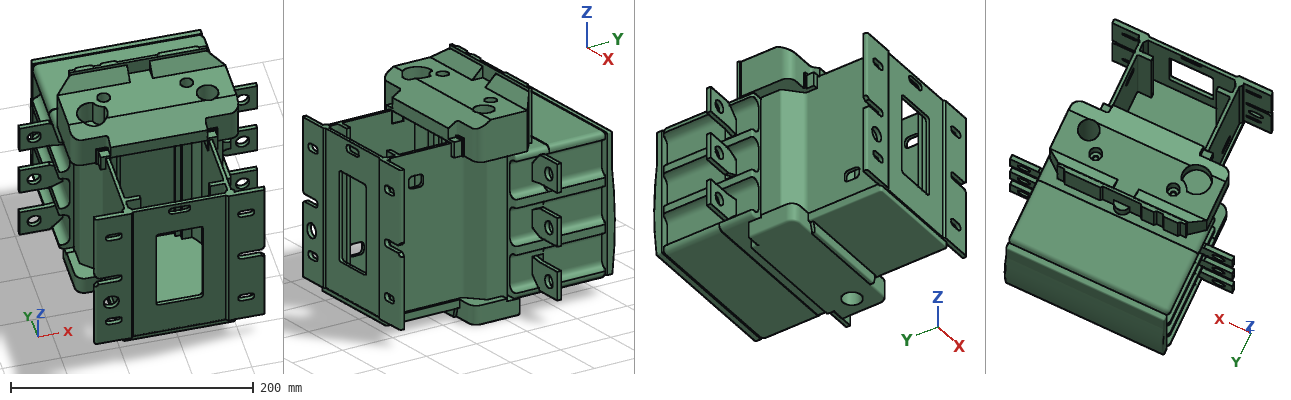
import cadquery as cq

OVERALL_WIDTH = 203.0
ROW_PITCH = 48.0
SIDES = (-1, 1)
ROWS = (-1, 0, 1)

ZONE_REACH = 0.2

PLATE_HALF_WIDTH = 72.6
PLATE_BOTTOM = 15.5
PLATE_TOP = 157.7
PLATE_MID = (PLATE_BOTTOM + PLATE_TOP) / 2
WING_THICKNESS = 4.0
WING_EDGE_RADIUS = 2.0
RECESS_DEPTH = 1.5
RECESS_INNER = 39.5
RECESS_OUTER = 41.5
PLATE_INNER_FACE = 4.7
SLOT_HEIGHT = 6.7
WING_SLOT_INNER = 49.6
WING_SLOT_OUTER = 63.4
SLOT_MOUTH_SIZE = 3.0
CENTRE_SLOT_LENGTH = 18.5
CENTRE_SLOT_Z = 150.8
WING_HOLE_DIAMETER = 13.0
WING_HOLE_X = -58.6
WING_HOLE_Z = 60.5
WINDOW_WIDTH = 40.0
WINDOW_HEIGHT = 80.8
WINDOW_RADIUS = 2.8

WALL_OUTER = 45.5
WALL_INNER = 42.3
GUSSET_SIZE = 2.1
GUSSET_END = 8.2
FLARE_START = 80.1
BODY_HALF_WIDTH = 61.2
FLARE_END = 94.5
FLARE_ROOT_RADIUS = 4.5
FLARE_OUTER_RADIUS = 2.4
CAVITY_WALL_END = 92.0
CAVITY_LEDGE_Y = 101.5
CAVITY_SLOPE = ((41.0, 94.3), (37.8, 99.9), (36.3, CAVITY_LEDGE_Y))
CAVITY_STEP_X = 28.0
CAVITY_STEP_Y = 106.1
CAVITY_REAR_HALF_WIDTH = 23.5
CAVITY_REAR_Y = 110.0
FLOOR_TOP = 17.8
FLOOR_BOTTOM = 10.0
FLOOR_HALF_WIDTH = 48.1
FLOOR_FRONT = 2.5
FLOOR_EDGE_RADIUS = 1.0
FLOOR_CORNER_RADIUS = 2.1
TAB_TIP = 29.6
TAB_START = 15.5
TAB_THICKNESS = 3.9
TAB_ROOT_RADIUS = 1.3
WALL_SLOT_LENGTH = 14.8
WALL_SLOT_HEIGHT = 11.2
WALL_SLOT_RADIUS = 3.9
WALL_SLOT_Y = 34.0
WALL_SLOT_OFFSET = 44.7

HOUSING_HALF_WIDTH = 73.5
HOUSING_START = 114.5
HOUSING_SEAM = 148.0
HOUSING_END = 206.2
HOUSING_BOTTOM = 16.1
HOUSING_TOP = 147.0
HOUSING_MID = (HOUSING_BOTTOM + HOUSING_TOP) / 2
SEAM_STEP = 0.6
HOUSING_RADIUS = 5.0
HOUSING_START_RADIUS = 1.7
BAY_PITCH = 41.7
BAY_HEIGHT = 34.0
BAY_FLOOR = 64.7
OUTER_BAY_RADIUS = 6.7
INNER_BAY_RADIUS = 6.0

TERMINAL_START = 137.0
TERMINAL_THICKNESS = 4.0
TERMINAL_TIP = OVERALL_WIDTH / 2
TERMINAL_HEIGHT = 25.5
TAPER_START = 75.6
TERMINAL_HOLE_X = 89.0
TERMINAL_HOLE_DIAMETER = 11.4
OPENING_HEIGHT = 16.1

COVER_HALF_WIDTH = 72.5
COVER_BOTTOM = 17.8
COVER_TOP = 145.2
COVER_FACE = 211.8
COVER_LOWER_FACE = 212.2
COVER_CROWN = 214.8
COVER_CROWN_Z = 66.5
COVER_ARCH_TOP = 113.2
COVER_RADIUS = 1.3

CAP_HALF_WIDTH = 71.7
CAP_FRONT = 78.0
CAP_NOSE_FRONT = 69.0
CAP_NOSE_HALF_WIDTH = 41.5
CAP_BACK = 127.2
CAP_BOTTOM = 146.0
CAP_TOP = 182.4
CAP_SLOPE_START = 90.9
CAP_SLOPE_END_Z = 169.5
CAP_CORNER_RADIUS = 8.4
NOSE_ROOT_RADIUS = 2.1
EAR_OUTER = 50.0
EAR_TOP = 160.0
EAR_COLLAR = 1.7
LABEL_HALF_WIDTH = 58.6
LABEL_START = 137.7
LABEL_FACE = 140.3
LABEL_TOP = 195.5
LABEL_SLOPE_TOP = 192.5
LABEL_PAD_HEIGHT = 1.7
PAD_SPANS = ((-53.7, -37.5), (-32.0, -17.5), (17.2, 52.6))
COLUMN_RADIUS = 7.5
COLUMN_Y = 138.3
COLUMN_TOP = 163.3
CAP_SLOT_WIDTH = 19.3
SCREW_HOLE_X = 35.5
SCREW_HOLE_Y = 115.1
SCREW_HOLE_DIAMETER = 10.7
SCREW_HOLE_DEPTH = 17.2
SCREW_CORE_DIAMETER = 4.7
SCREW_CORE_DEPTH = 4.3
SCREW_BOSS_RADIUS = 11.0
PORT_X = 49.2
PORT_Y = 99.2
BLIND_PORT_DIAMETER = 25.5
BLIND_PORT_FLOOR = 161.1
THROUGH_PORT_DIAMETER = 18.0

FOOT_HALF_WIDTH = 68.5
FOOT_FRONT = 75.8
FOOT_BACK = 122.9
FOOT_STEP_Y = 109.3
FOOT_CORNER_RADIUS = 8.2
FOOT_EDGE_RADIUS = 2.1
FOOT_TONGUE_BACK = 128.0
FOOT_TONGUE_HALF_WIDTH = 55.9
FOOT_TONGUE_RADIUS = 1.5
FOOT_LIP_FRONT = 72.8
FOOT_LIP_BOTTOM = 0.6
FOOT_LIP_RADIUS = 1.5
FOOT_LIP_TOP_HALF_WIDTH = 45.3
FOOT_LIP_BOTTOM_HALF_WIDTH = 42.5


def block(x_span, y_span, z_span):
    """Axis-aligned block between pairs of limits."""
    size = [span[1] - span[0] for span in (x_span, y_span, z_span)]
    corner = (x_span[0], y_span[0], z_span[0])
    return cq.Workplane("XY").box(*size, centered=False).translate(corner)


def centred_block(half_width, y_span, z_span):
    """Block that is symmetric about X = 0."""
    return block((-half_width, half_width), y_span, z_span)


def side_block(side, near, far, y_span, z_span):
    """Block on one side of X = 0, between two distances from it."""
    return block(sorted((side * near, side * far)), y_span, z_span)


def plan_prism(right_half, z_span):
    """Vertical prism from the +X half of an outline, mirrored about X = 0."""
    left_half = [(-x, y) for x, y in reversed(right_half)]
    outline = cq.Workplane("XY").workplane(offset=z_span[0]).polyline(right_half + left_half)
    return outline.close().extrude(z_span[1] - z_span[0])


def upright_cylinder(x, y, diameter, z_span):
    """Vertical cylinder."""
    base = cq.Workplane("XY").workplane(offset=z_span[0]).center(x, y)
    return base.circle(diameter / 2).extrude(z_span[1] - z_span[0])


def y_zone(y):
    """Selector for the edges close to one Y position."""
    return cq.selectors.BoxSelector(
        (-TERMINAL_TIP, y - ZONE_REACH, 0), (TERMINAL_TIP, y + ZONE_REACH, LABEL_TOP)
    )


def corner_zone(x, y):
    """Selector for the vertical edges close to one plan position."""
    return cq.selectors.BoxSelector(
        (x - ZONE_REACH, y - ZONE_REACH, 0), (x + ZONE_REACH, y + ZONE_REACH, LABEL_TOP)
    )


def plate_cutter(sketch):
    """Extrude an XZ sketch through the mounting plate."""
    return sketch.extrude(-GUSSET_END)


def make_plate():
    """Mounting plate: two wings, a recessed centre and the gussets to the walls."""
    plate = plan_prism(
        [
            (RECESS_INNER, RECESS_DEPTH),
            (RECESS_OUTER, 0),
            (PLATE_HALF_WIDTH, 0),
            (PLATE_HALF_WIDTH, WING_THICKNESS),
            (WALL_OUTER + GUSSET_SIZE, WING_THICKNESS),
            (WALL_OUTER + GUSSET_SIZE, GUSSET_END - GUSSET_SIZE),
            (WALL_OUTER, GUSSET_END),
            (WALL_INNER, GUSSET_END),
            (RECESS_INNER, PLATE_INNER_FACE),
        ],
        (PLATE_BOTTOM, PLATE_TOP),
    )
    for side in SIDES:
        plate = plate.edges(corner_zone(side * PLATE_HALF_WIDTH, 0)).fillet(WING_EDGE_RADIUS)
    return plate


def cut_plate_openings(plate):
    """Wing slots, open middle slots, round hole, centre slot and window."""
    slot_length = WING_SLOT_OUTER - WING_SLOT_INNER
    slot_x = (WING_SLOT_OUTER + WING_SLOT_INNER) / 2
    slots = [(s * slot_x, PLATE_MID + n * ROW_PITCH) for s in SIDES for n in ROWS]
    xz = cq.Workplane("XZ")
    plate = plate.cut(plate_cutter(xz.pushPoints(slots).slot2D(slot_length, SLOT_HEIGHT)))
    plate = plate.cut(plate_cutter(xz.center(0, CENTRE_SLOT_Z).slot2D(CENTRE_SLOT_LENGTH, SLOT_HEIGHT)))
    plate = plate.cut(plate_cutter(xz.center(WING_HOLE_X, WING_HOLE_Z).circle(WING_HOLE_DIAMETER / 2)))

    half_slot = SLOT_HEIGHT / 2
    slot_span = (PLATE_MID - half_slot, PLATE_MID + half_slot)
    for side in SIDES:
        plate = plate.cut(side_block(side, slot_x, PLATE_HALF_WIDTH, (0, GUSSET_END), slot_span))
        throat_x = side * (PLATE_HALF_WIDTH - SLOT_MOUTH_SIZE)
        mouth = (
            xz.moveTo(throat_x, slot_span[0])
            .lineTo(throat_x, slot_span[1])
            .lineTo(side * PLATE_HALF_WIDTH, slot_span[1] + SLOT_MOUTH_SIZE)
            .lineTo(side * PLATE_HALF_WIDTH, slot_span[0] - SLOT_MOUTH_SIZE)
            .close()
        )
        plate = plate.cut(plate_cutter(mouth))

    window = plate_cutter(xz.center(0, PLATE_MID).rect(WINDOW_WIDTH, WINDOW_HEIGHT))
    return plate.cut(window.edges("|Y").fillet(WINDOW_RADIUS))


def make_body():
    """Solid core: the box walls and the flare up to the contact housing."""
    body = plan_prism(
        [
            (WALL_OUTER, PLATE_INNER_FACE),
            (WALL_OUTER, FLARE_START),
            (BODY_HALF_WIDTH, FLARE_END),
            (BODY_HALF_WIDTH, HOUSING_START),
        ],
        (FLOOR_BOTTOM, CAP_BOTTOM),
    )
    for y, radius in ((FLARE_START, FLARE_ROOT_RADIUS), (FLARE_END, FLARE_OUTER_RADIUS)):
        body = body.edges("|Z").edges(y_zone(y)).fillet(radius)
    walls = centred_block(WALL_OUTER, (PLATE_INNER_FACE, FLARE_START), (FLOOR_BOTTOM, PLATE_TOP))
    floor = centred_block(FLOOR_HALF_WIDTH, (FLOOR_FRONT, FLARE_START), (FLOOR_BOTTOM, FLOOR_TOP))
    floor = floor.edges("|Z and <Y").fillet(FLOOR_CORNER_RADIUS).edges("<Z").fillet(FLOOR_EDGE_RADIUS)
    return body.union(walls).union(floor)


def make_cavity():
    """Inside of the box around two wall tabs, narrowing in steps towards its rear wall."""
    cavity = plan_prism(
        [
            (WALL_INNER - GUSSET_SIZE, PLATE_INNER_FACE),
            (WALL_INNER, GUSSET_END),
            (WALL_INNER, CAVITY_WALL_END),
            *CAVITY_SLOPE,
            (CAVITY_STEP_X, CAVITY_LEDGE_Y),
            (CAVITY_STEP_X, CAVITY_STEP_Y),
            (CAVITY_REAR_HALF_WIDTH, CAVITY_STEP_Y),
            (CAVITY_REAR_HALF_WIDTH, CAVITY_REAR_Y),
        ],
        (FLOOR_TOP, PLATE_TOP),
    )
    tab_span = (TAB_START, TAB_START + TAB_THICKNESS)
    for side in SIDES:
        cavity = cavity.cut(side_block(side, TAB_TIP, WALL_OUTER, tab_span, (FLOOR_TOP, PLATE_TOP)))
    root_edges = [(side * WALL_INNER, y) for side in SIDES for y in tab_span]
    for x, y in root_edges:
        cavity = cavity.edges("|Z").edges(corner_zone(x, y)).fillet(TAB_ROOT_RADIUS)
    return cavity


def wall_slot(side):
    """Rounded slot through one wall: low on -X and high on +X."""
    half_length = WALL_SLOT_LENGTH / 2
    half_height = WALL_SLOT_HEIGHT / 2
    z = PLATE_MID + side * WALL_SLOT_OFFSET
    slot = side_block(
        side,
        WALL_INNER,
        WALL_OUTER,
        (WALL_SLOT_Y - half_length, WALL_SLOT_Y + half_length),
        (z - half_height, z + half_height),
    )
    return slot.edges("|X").fillet(WALL_SLOT_RADIUS)


def cut_bays(housing, y_span, radius):
    """Cut three bays with rounded floor corners into each side of a housing part."""
    half_bay = BAY_HEIGHT / 2
    for side in SIDES:
        for n in ROWS:
            z = HOUSING_MID + n * BAY_PITCH
            outside = 2 * HOUSING_HALF_WIDTH - BAY_FLOOR
            bay = side_block(side, BAY_FLOOR, outside, y_span, (z - half_bay, z + half_bay))
            floor_edges = bay.edges("|Y").edges("<X" if side > 0 else ">X")
            housing = housing.cut(floor_edges.fillet(radius))
    return housing


def make_housing():
    """Contact housing in two parts, with three filleted bays on each side."""
    outer = centred_block(HOUSING_HALF_WIDTH, (HOUSING_SEAM, HOUSING_END), (HOUSING_BOTTOM, HOUSING_TOP))
    outer = outer.edges("|Y or >Y").fillet(HOUSING_RADIUS)
    inner = centred_block(
        HOUSING_HALF_WIDTH,
        (HOUSING_START, HOUSING_SEAM),
        (HOUSING_BOTTOM + SEAM_STEP, HOUSING_TOP - SEAM_STEP),
    )
    inner = inner.edges("|Y").fillet(HOUSING_RADIUS).edges("<Y").fillet(HOUSING_START_RADIUS)
    outer = cut_bays(outer, (HOUSING_SEAM, HOUSING_END), OUTER_BAY_RADIUS)
    inner = cut_bays(inner, (HOUSING_START, HOUSING_SEAM), INNER_BAY_RADIUS)
    return outer.union(inner)


def make_opening(n):
    """Rectangular passage across the whole housing beside one pair of terminals."""
    z = HOUSING_MID + n * BAY_PITCH
    y_span = (TERMINAL_START, HOUSING_SEAM)
    return centred_block(HOUSING_HALF_WIDTH, y_span, (z - OPENING_HEIGHT / 2, z + OPENING_HEIGHT / 2))


def make_terminal(n):
    """One terminal bar across the housing: wide drilled ends and tapered roots."""
    root_z = HOUSING_MID + n * BAY_PITCH
    end_z = HOUSING_MID + n * ROW_PITCH
    half_root = OPENING_HEIGHT / 2
    half_end = TERMINAL_HEIGHT / 2
    upper = [
        (-TERMINAL_TIP, end_z + half_end),
        (-TAPER_START, end_z + half_end),
        (-BAY_FLOOR, root_z + half_root),
        (BAY_FLOOR, root_z + half_root),
        (TAPER_START, end_z + half_end),
        (TERMINAL_TIP, end_z + half_end),
    ]
    lower = [
        (TERMINAL_TIP, end_z - half_end),
        (TAPER_START, end_z - half_end),
        (BAY_FLOOR, root_z - half_root),
        (-BAY_FLOOR, root_z - half_root),
        (-TAPER_START, end_z - half_end),
        (-TERMINAL_TIP, end_z - half_end),
    ]
    sketch_plane = cq.Workplane("XZ", origin=(0, TERMINAL_START, 0))
    bar = sketch_plane.polyline(upper + lower).close().extrude(-TERMINAL_THICKNESS)
    holes = sketch_plane.pushPoints([(side * TERMINAL_HOLE_X, end_z) for side in SIDES])
    return bar.cut(holes.circle(TERMINAL_HOLE_DIAMETER / 2).extrude(-TERMINAL_THICKNESS))


def make_cover():
    """End cover with rounded edges: flat at the top and a shallow arch below."""
    cover = (
        cq.Workplane("YZ", origin=(-COVER_HALF_WIDTH, 0, 0))
        .moveTo(HOUSING_END, COVER_BOTTOM)
        .lineTo(COVER_LOWER_FACE, COVER_BOTTOM)
        .threePointArc((COVER_CROWN, COVER_CROWN_Z), (COVER_FACE, COVER_ARCH_TOP))
        .lineTo(COVER_FACE, COVER_TOP)
        .lineTo(HOUSING_END, COVER_TOP)
        .close()
        .extrude(2 * COVER_HALF_WIDTH)
    )
    cover = cover.edges("|Y").fillet(COVER_RADIUS)
    face_zone = cq.selectors.BoxSelector(
        (-COVER_HALF_WIDTH - ZONE_REACH, COVER_FACE - ZONE_REACH, 0),
        (COVER_HALF_WIDTH + ZONE_REACH, COVER_CROWN + ZONE_REACH, LABEL_TOP),
    )
    return cover.edges("<X or >X or <Z or >Z").edges(face_zone).fillet(COVER_RADIUS)


def make_cap():
    """Coil cap with rounded front corners, a projecting nose and a sloped front."""
    cap = plan_prism(
        [
            (CAP_NOSE_HALF_WIDTH, CAP_NOSE_FRONT),
            (CAP_NOSE_HALF_WIDTH, CAP_FRONT),
            (CAP_HALF_WIDTH, CAP_FRONT),
            (CAP_HALF_WIDTH, CAP_BACK),
        ],
        (CAP_BOTTOM, CAP_TOP),
    )
    for side in SIDES:
        for x, radius in ((CAP_HALF_WIDTH, CAP_CORNER_RADIUS), (CAP_NOSE_HALF_WIDTH, NOSE_ROOT_RADIUS)):
            cap = cap.edges("|Z").edges(corner_zone(side * x, CAP_FRONT)).fillet(radius)
    slope = (
        cq.Workplane("YZ", origin=(-CAP_HALF_WIDTH, 0, 0))
        .polyline([(CAP_NOSE_FRONT, CAP_SLOPE_END_Z), (CAP_SLOPE_START, CAP_TOP), (CAP_NOSE_FRONT, CAP_TOP)])
        .close()
        .extrude(2 * CAP_HALF_WIDTH)
    )
    return cap.cut(slope)


def make_label_support():
    """Sloped hood at the rear of the cap, the label plate with its pads and the column."""
    hood = plan_prism(
        [(CAP_HALF_WIDTH, CAP_BACK), (LABEL_HALF_WIDTH, LABEL_START)],
        (CAP_BOTTOM, LABEL_TOP),
    )
    hood_profile = (
        cq.Workplane("YZ", origin=(-CAP_HALF_WIDTH, 0, 0))
        .polyline(
            [
                (CAP_BACK, CAP_BOTTOM),
                (CAP_BACK, CAP_TOP),
                (LABEL_START, LABEL_SLOPE_TOP),
                (LABEL_START, CAP_BOTTOM),
            ]
        )
        .close()
        .extrude(2 * CAP_HALF_WIDTH)
    )
    hood = hood.intersect(hood_profile)
    hood = hood.cut(centred_block(CAP_SLOT_WIDTH / 2, (CAP_BACK, LABEL_START), (CAP_TOP, LABEL_TOP)))

    plate_height = (CAP_BOTTOM, LABEL_TOP)
    support = hood.union(centred_block(LABEL_HALF_WIDTH, (LABEL_START, LABEL_FACE), plate_height))
    for left, right in PAD_SPANS:
        pad = block((left, right), (LABEL_START, LABEL_FACE + LABEL_PAD_HEIGHT), plate_height)
        support = support.union(pad.edges("|Z and >Y").chamfer(LABEL_PAD_HEIGHT))
    column = upright_cylinder(0, COLUMN_Y, 2 * COLUMN_RADIUS, (CAP_BOTTOM, COLUMN_TOP))
    column = column.cut(centred_block(COLUMN_RADIUS, (CAP_BACK, LABEL_START), plate_height))
    return support.union(column)


def make_ears():
    """Clips under the cap nose that wrap the tops of both box walls, with a collar at the cap."""
    clip_y = (CAP_NOSE_FRONT, FLARE_START)
    collar_y = (CAP_FRONT - EAR_COLLAR, FLARE_START)
    collar_z = (CAP_BOTTOM, EAR_TOP + EAR_COLLAR)
    left, right = [
        side_block(side, CAP_NOSE_HALF_WIDTH, EAR_OUTER, clip_y, (CAP_BOTTOM, EAR_TOP)).union(
            side_block(side, CAP_NOSE_HALF_WIDTH, EAR_OUTER + EAR_COLLAR, collar_y, collar_z)
        )
        for side in SIDES
    ]
    return left.union(right)


def make_foot():
    """Rounded foot under the core, with a rear tongue and a tapered front lip."""
    foot = centred_block(FOOT_HALF_WIDTH, (FOOT_FRONT, FOOT_BACK), (0, FLOOR_TOP))
    foot = foot.edges("|Z and <Y").fillet(FOOT_CORNER_RADIUS)
    foot = foot.edges("|Z and >Y").fillet(FOOT_EDGE_RADIUS)
    foot = foot.edges("<Z").fillet(FOOT_EDGE_RADIUS)
    foot = foot.cut(centred_block(FOOT_HALF_WIDTH, (FOOT_STEP_Y, FOOT_BACK), (PLATE_BOTTOM, FLOOR_TOP)))
    core_link = centred_block(BODY_HALF_WIDTH, (FOOT_STEP_Y, HOUSING_START), (PLATE_BOTTOM, FLOOR_TOP))
    tongue_y = (HOUSING_START, FOOT_TONGUE_BACK)
    tongue = centred_block(FOOT_TONGUE_HALF_WIDTH, tongue_y, (0, PLATE_BOTTOM))
    tongue = tongue.edges("<Z and |Y").fillet(FOOT_TONGUE_RADIUS)
    lip = (
        cq.Workplane("XZ", origin=(0, FOOT_LIP_FRONT, 0))
        .polyline(
            [
                (-FOOT_LIP_TOP_HALF_WIDTH, FLOOR_BOTTOM),
                (FOOT_LIP_TOP_HALF_WIDTH, FLOOR_BOTTOM),
                (FOOT_LIP_BOTTOM_HALF_WIDTH, FOOT_LIP_BOTTOM),
                (-FOOT_LIP_BOTTOM_HALF_WIDTH, FOOT_LIP_BOTTOM),
            ]
        )
        .close()
        .extrude(FOOT_LIP_FRONT - FOOT_FRONT - FOOT_EDGE_RADIUS)
    )
    lip = lip.edges("<Z and <Y").fillet(FOOT_LIP_RADIUS)
    return foot.union(core_link).union(tongue).union(lip)


def cut_cap_holes(part):
    """Screw holes, the blind port and the port that runs through to the underside."""
    screw_floor = CAP_TOP - SCREW_HOLE_DEPTH
    for side in SIDES:
        x = side * SCREW_HOLE_X
        part = part.cut(upright_cylinder(x, SCREW_HOLE_Y, SCREW_HOLE_DIAMETER, (screw_floor, CAP_TOP)))
        core_span = (screw_floor - SCREW_CORE_DEPTH, screw_floor)
        part = part.cut(upright_cylinder(x, SCREW_HOLE_Y, SCREW_CORE_DIAMETER, core_span))
    blind_span = (BLIND_PORT_FLOOR, CAP_TOP)
    blind_port = upright_cylinder(-PORT_X, PORT_Y, BLIND_PORT_DIAMETER, blind_span)
    screw_boss = upright_cylinder(-SCREW_HOLE_X, SCREW_HOLE_Y, 2 * SCREW_BOSS_RADIUS, blind_span)
    part = part.cut(blind_port.cut(screw_boss))
    return part.cut(upright_cylinder(PORT_X, PORT_Y, THROUGH_PORT_DIAMETER, (0, CAP_TOP)))


housing = make_housing()
for row in ROWS:
    housing = housing.cut(make_opening(row))
for row in ROWS:
    housing = housing.union(make_terminal(row))

core = make_body().union(make_cap()).union(make_foot())
core = core.cut(make_cavity())
core = core.union(cut_plate_openings(make_plate()))
core = core.union(make_ears())
for wall_side in SIDES:
    core = core.cut(wall_slot(wall_side))

result = core.union(housing).union(make_cover()).union(make_label_support())
result = cut_cap_holes(result)